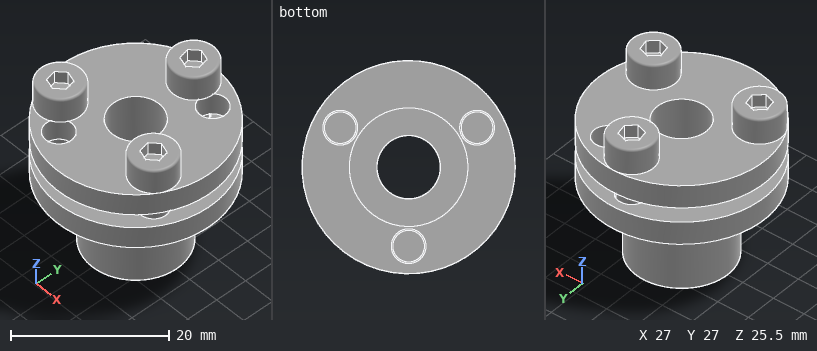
import cadquery as cq
import math

outer_diameter = 27.0
stem_diameter = 15.0
neck_diameter = 13.82
bore_diameter = 8.0
stem_length = 12.0
flange_thickness = 3.6
hub_height = 21.5

bolt_circle_radius = 10.0
screw_angles = (90.0, 210.0, 330.0)
head_diameter = 7.0
head_height = 4.0
head_fillet = 0.4
shank_diameter = 4.0
socket_across_flats = 3.0
socket_depth = 2.0
socket_turn = 42.0

hole_diameter = 4.4
jack_hole_angles = (60.0, 240.0)

neck_bottom = stem_length + flange_thickness
neck_top = hub_height - flange_thickness


def on_bolt_circle(angle):
    """X and Y of the point of the bolt circle at an angle from +X."""
    turn = math.radians(angle)
    return bolt_circle_radius * math.cos(turn), bolt_circle_radius * math.sin(turn)


def cylinder(diameter, bottom, top, center=(0.0, 0.0)):
    """Upright cylinder between two heights."""
    return cq.Workplane("XY", origin=(*center, bottom)).circle(diameter / 2).extrude(top - bottom)


def make_hub():
    """Stem, flanges and neck with the bore, the screw holes and the jack holes."""
    hub = cylinder(stem_diameter, 0.0, stem_length)
    hub = hub.union(cylinder(outer_diameter, stem_length, neck_bottom))
    hub = hub.union(cylinder(neck_diameter, neck_bottom, neck_top))
    hub = hub.union(cylinder(outer_diameter, neck_top, hub_height))
    hub = hub.cut(cylinder(bore_diameter, 0.0, hub_height))
    for angle in screw_angles:
        hub = hub.cut(cylinder(hole_diameter, stem_length, hub_height, on_bolt_circle(angle)))
    for angle in jack_hole_angles:
        hub = hub.cut(cylinder(hole_diameter, neck_top, hub_height, on_bolt_circle(angle)))
    return hub


def make_screw(angle):
    """Socket head screw resting on the upper flange, its shank ending flush under the lower flange."""
    head_top = hub_height + head_height
    center = on_bolt_circle(angle)
    head = cylinder(head_diameter, hub_height, head_top, center)
    head = head.faces(">Z").edges().fillet(head_fillet)
    shank = cylinder(shank_diameter, stem_length, hub_height, center)
    socket_across_corners = socket_across_flats / math.cos(math.pi / 6)
    socket = (
        cq.Workplane("XY")
        .polygon(6, socket_across_corners)
        .extrude(socket_depth)
        .rotate((0, 0, 0), (0, 0, 1), socket_turn)
        .translate((*center, head_top - socket_depth))
    )
    return head.union(shank).cut(socket)


hub = make_hub()
screws = [make_screw(angle) for angle in screw_angles]

result = cq.Compound.makeCompound([hub.val(), *(screw.val() for screw in screws)])